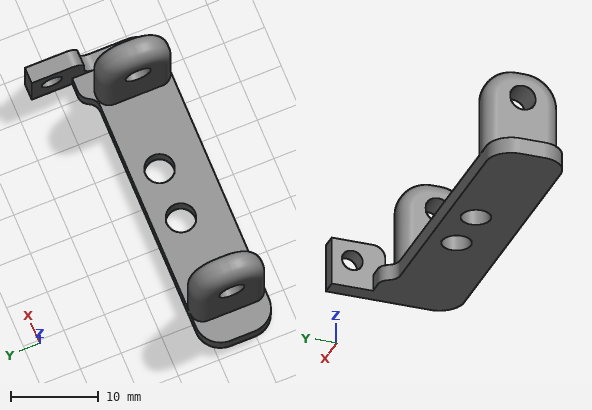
import cadquery as cq
import math

plate_length = 38.0
plate_width = 9.0
plate_thickness = 2.0
corner_radius = 3.0

ledge_width = 1.7
ledge_start_x = 34.35
ledge_arc_radius = 1.5

plate_hole_diameter = 3.5
plate_hole_spacing = 6.4
plate_hole_y = 5.6

lug_thickness = 3.5
lug_spacing = 28.1
lug_top_z = 13.0
lug_corner_radius = 4.0
lug_edge_radius = 1.5
lug_hole_diameter = 3.1
lug_hole_z = 9.25

tab_thickness = 2.0
tab_overhang = 5.0
tab_height = 6.0
tab_arc_radius = 1.5
tab_hole_diameter = 2.5
tab_hole_from_end = 2.5
tab_hole_z = 3.5

plate_mid_x = plate_length / 2
plate_mid_y = plate_width / 2
ledge_y = plate_width + ledge_width
tab_end_y = ledge_y + tab_overhang


def make_plate():
    """Plate with three rounded corners and an S-shaped step up to the ledge."""
    arc_angle = math.acos(1 - ledge_width / (2 * ledge_arc_radius))
    step_half_length = ledge_arc_radius * math.sin(arc_angle)
    step_mid = (ledge_start_x - step_half_length, plate_width + ledge_width / 2)
    step_foot = (ledge_start_x - 2 * step_half_length, plate_width)
    return (
        cq.Workplane("XY")
        .moveTo(corner_radius, 0)
        .lineTo(plate_length - corner_radius, 0)
        .radiusArc((plate_length, corner_radius), -corner_radius)
        .lineTo(plate_length, ledge_y)
        .lineTo(ledge_start_x, ledge_y)
        .radiusArc(step_mid, -ledge_arc_radius)
        .radiusArc(step_foot, ledge_arc_radius)
        .lineTo(corner_radius, plate_width)
        .radiusArc((0, plate_width - corner_radius), -corner_radius)
        .lineTo(0, corner_radius)
        .radiusArc((corner_radius, 0), -corner_radius)
        .close()
        .extrude(plate_thickness)
    )


def make_plate_holes():
    """Cutters for the two holes through the plate."""
    return (
        cq.Workplane("XY")
        .center(plate_mid_x, plate_hole_y)
        .rarray(plate_hole_spacing, 1, 2, 1)
        .circle(plate_hole_diameter / 2)
        .extrude(plate_thickness)
    )


def make_lug(center_x):
    """Upright lug with a rounded top, rounded edges and a cross hole."""
    lug_height = lug_top_z - plate_thickness
    lug = (
        cq.Workplane("XY", origin=(center_x, plate_mid_y, plate_thickness))
        .rect(lug_thickness, plate_width)
        .extrude(lug_height)
        .edges("|X and >Z")
        .fillet(lug_corner_radius)
        .faces("<X or >X")
        .edges("not <Z")
        .fillet(lug_edge_radius)
    )
    hole = (
        cq.Workplane("YZ", origin=(center_x - lug_thickness / 2, plate_mid_y, lug_hole_z))
        .circle(lug_hole_diameter / 2)
        .extrude(lug_thickness)
    )
    return lug.cut(hole)


def make_tab():
    """Tab with a convex arc at its top and a concave arc down to the plate."""
    wall_y = ledge_y - tab_arc_radius
    foot_y = wall_y - tab_arc_radius
    tab_start_x = plate_length - tab_thickness
    tab = (
        cq.Workplane("YZ", origin=(tab_start_x, 0, 0))
        .moveTo(foot_y, 0)
        .lineTo(tab_end_y, 0)
        .lineTo(tab_end_y, tab_height)
        .lineTo(ledge_y, tab_height)
        .radiusArc((wall_y, tab_height - tab_arc_radius), -tab_arc_radius)
        .lineTo(wall_y, plate_thickness + tab_arc_radius)
        .radiusArc((foot_y, plate_thickness), tab_arc_radius)
        .close()
        .extrude(tab_thickness)
    )
    hole = (
        cq.Workplane("YZ", origin=(tab_start_x, tab_end_y - tab_hole_from_end, tab_hole_z))
        .circle(tab_hole_diameter / 2)
        .extrude(tab_thickness)
    )
    return tab.cut(hole)


body = make_plate().cut(make_plate_holes())
for side in (-1, 1):
    body = body.union(make_lug(plate_mid_x + side * lug_spacing / 2))
result = body.union(make_tab())